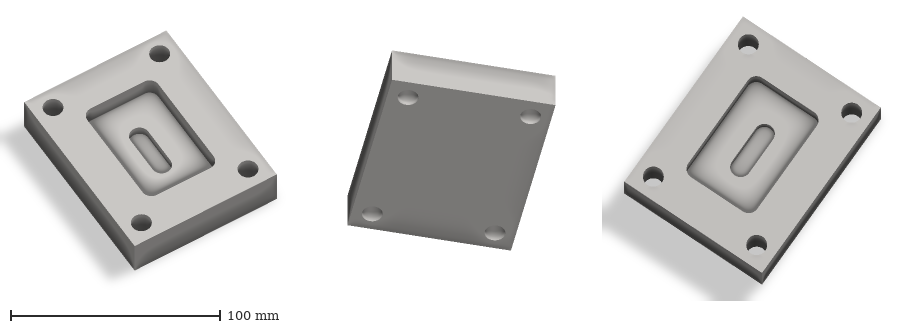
import cadquery as cq

plate_length = 100.0
plate_width = 80.0
plate_height = 20.0

hole_diameter = 10.0
hole_edge_distance = 10.0

pocket_length = 60.0
pocket_width = 40.0
pocket_depth = 10.0
pocket_corner_radius = 5.0

slot_length = 30.0
slot_width = 10.0
slot_depth = 5.0

pocket_floor = plate_height - pocket_depth


def make_plate():
    return cq.Workplane("XY").box(
        plate_length, plate_width, plate_height, centered=(True, True, False)
    )


def make_mounting_holes():
    hole_spacing_x = plate_length - 2 * hole_edge_distance
    hole_spacing_y = plate_width - 2 * hole_edge_distance
    return (
        cq.Workplane("XY")
        .rarray(hole_spacing_x, hole_spacing_y, 2, 2)
        .circle(hole_diameter / 2)
        .extrude(plate_height)
    )


def make_pocket():
    return (
        cq.Workplane("XY", origin=(0, 0, pocket_floor))
        .rect(pocket_length, pocket_width)
        .extrude(pocket_depth)
        .edges("|Z")
        .fillet(pocket_corner_radius)
    )


def make_slot():
    return (
        cq.Workplane("XY", origin=(0, 0, pocket_floor))
        .slot2D(slot_length, slot_width)
        .extrude(-slot_depth)
    )


result = make_plate().cut(make_mounting_holes()).cut(make_pocket()).cut(make_slot())